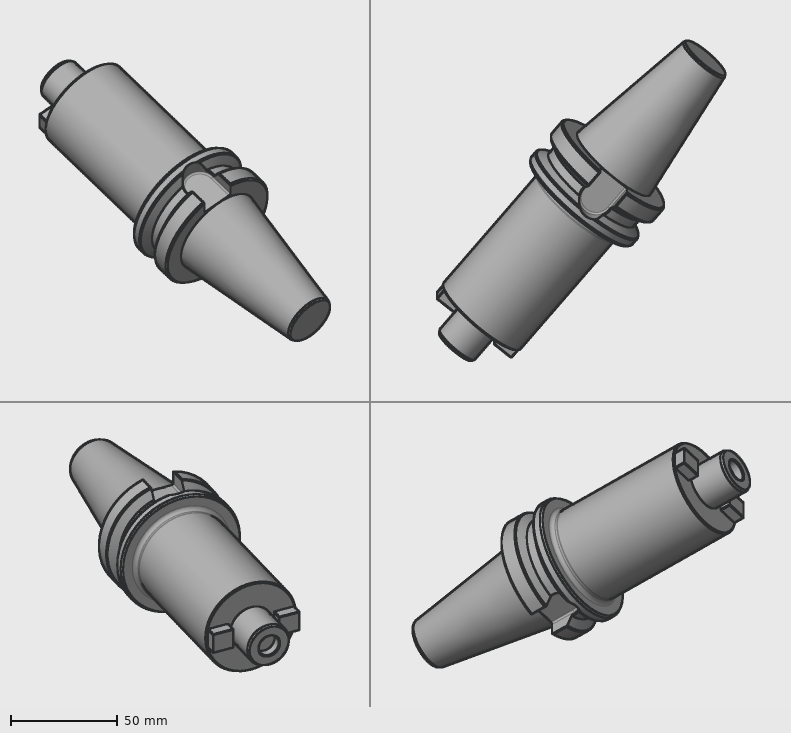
import cadquery as cq
import math

total_length = 184.4
pilot_length = 19.0
body_end = 88.9
flange_front = 92.0
flange_back = 116.7

pilot_diameter = 22.0
body_diameter = 48.0
neck_diameter = 47.8
flange_diameter = 63.0
groove_diameter = 53.0
taper_large_diameter = 45.2
taper_small_diameter = 25.6

groove_center = 102.5
groove_floor_width = 4.8
groove_wall_angle = 30.0
groove_rim_chamfer = 0.46

pilot_chamfer = 1.3
pilot_chamfer_depth = 0.65
body_chamfer = 0.5
neck_step = 0.4
neck_fillet = 2.0
flange_front_chamfer = 1.1
flange_front_chamfer_depth = 0.7
flange_back_chamfer = 0.7
taper_chamfer = 1.1
taper_chamfer_depth = 0.5

bore_diameter = 10.5
bore_depth = 5.0
bore_chamfer = 0.46

key_length = 5.5
key_width = 10.3
key_inner = 12.0
key_outer = 22.9
key_chamfer = 0.28

slot_width = 16.0
slot_floor = 22.7
slot_start = 95.7
slot_floor_fillet = 1.0
slot_edge_chamfer = 0.4


def turned_body():
    """Revolved profile of pilot, body, grooved flange and taper."""
    pilot_r = pilot_diameter / 2
    body_r = body_diameter / 2
    neck_r = neck_diameter / 2
    flange_r = flange_diameter / 2
    groove_r = groove_diameter / 2
    taper_large_r = taper_large_diameter / 2
    taper_small_r = taper_small_diameter / 2

    wall_angle = math.radians(groove_wall_angle)
    wall_run = (flange_r - groove_r) * math.tan(wall_angle)
    rim_run = groove_rim_chamfer * math.sin(wall_angle)
    rim_drop = groove_rim_chamfer * math.cos(wall_angle)
    floor_front = groove_center - groove_floor_width / 2
    floor_back = groove_center + groove_floor_width / 2

    arc_drop = neck_fillet * math.sin(math.radians(45))
    arc_middle = (flange_front - neck_fillet + arc_drop, neck_r + neck_fillet - arc_drop)

    profile = (
        cq.Workplane("XY")
        .moveTo(0, 0)
        .lineTo(0, pilot_r - pilot_chamfer_depth)
        .lineTo(pilot_chamfer, pilot_r)
        .lineTo(pilot_length, pilot_r)
        .lineTo(pilot_length, body_r - body_chamfer)
        .lineTo(pilot_length + body_chamfer, body_r)
        .lineTo(body_end - neck_step, body_r)
        .lineTo(body_end, neck_r)
        .lineTo(flange_front - neck_fillet, neck_r)
        .threePointArc(arc_middle, (flange_front, neck_r + neck_fillet))
        .lineTo(flange_front, flange_r - flange_front_chamfer_depth)
        .lineTo(flange_front + flange_front_chamfer, flange_r)
        .lineTo(floor_front - wall_run - groove_rim_chamfer, flange_r)
        .lineTo(floor_front - wall_run + rim_run, flange_r - rim_drop)
        .lineTo(floor_front, groove_r)
        .lineTo(floor_back, groove_r)
        .lineTo(floor_back + wall_run - rim_run, flange_r - rim_drop)
        .lineTo(floor_back + wall_run + groove_rim_chamfer, flange_r)
        .lineTo(flange_back - flange_back_chamfer, flange_r)
        .lineTo(flange_back, flange_r - flange_back_chamfer)
        .lineTo(flange_back, taper_large_r)
        .lineTo(total_length - taper_chamfer, taper_small_r)
        .lineTo(total_length, taper_small_r - taper_chamfer_depth)
        .lineTo(total_length, 0)
        .close()
    )
    return profile.revolve(360, (0, 0, 0), (1, 0, 0))


def drive_key(side):
    """Rectangular key on the front face of the body; side is +1 or -1 along Y."""
    return (
        cq.Workplane("XY")
        .box(key_length, key_outer - key_inner, key_width)
        .edges("|X or <X")
        .chamfer(key_chamfer)
        .translate((pilot_length - key_length / 2, side * (key_inner + key_outer) / 2, 0))
    )


def drive_slot_cutter():
    """Round-ended slot open towards the taper, with a filleted floor."""
    slot_radius = slot_width / 2
    open_end = flange_back + slot_width
    return (
        cq.Workplane("XY", origin=(0, 0, slot_floor))
        .moveTo(open_end, -slot_radius)
        .lineTo(slot_start + slot_radius, -slot_radius)
        .threePointArc((slot_start, 0), (slot_start + slot_radius, slot_radius))
        .lineTo(open_end, slot_radius)
        .close()
        .extrude(flange_diameter / 2)
        .faces("<Z")
        .edges("not >X")
        .fillet(slot_floor_fillet)
    )


def screw_bore_cutter():
    """Blind bore in the pilot with a small chamfer at its mouth."""
    bore_r = bore_diameter / 2
    return (
        cq.Workplane("XY")
        .moveTo(0, 0)
        .lineTo(0, bore_r + bore_chamfer)
        .lineTo(bore_chamfer, bore_r)
        .lineTo(bore_depth, bore_r)
        .lineTo(bore_depth, 0)
        .close()
        .revolve(360, (0, 0, 0), (1, 0, 0))
    )


def slot_land_edges(side):
    """Selector for the region holding the slot edges of the rear land; side is +1 or -1 along Z."""
    lowest = slot_floor + 2 * slot_floor_fillet
    highest = flange_diameter / 2
    return cq.selectors.BoxSelector(
        (groove_center, -slot_width, side * lowest),
        (flange_back, slot_width, side * highest),
    )


result = turned_body()

for side in (1, -1):
    result = result.union(drive_key(side))

slot = drive_slot_cutter()
result = result.cut(slot).cut(slot.mirror("XY"))

for side in (1, -1):
    result = result.edges("|X").edges(slot_land_edges(side)).chamfer(slot_edge_chamfer)

result = result.cut(screw_bore_cutter())